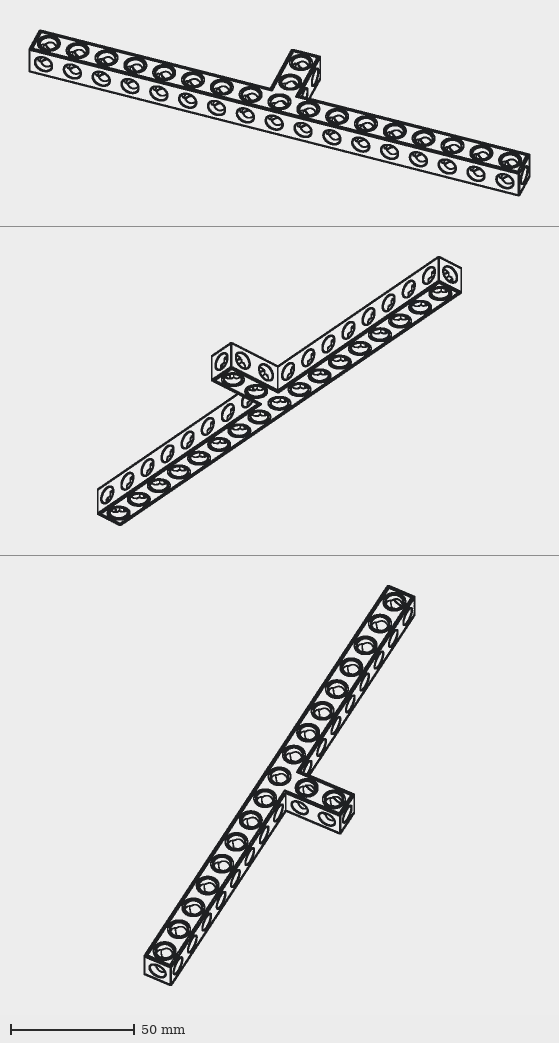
import cadquery as cq

beam_length = 212.5
beam_cells = 17
arm_cells = 2
cell = beam_length / beam_cells
half_cell = cell / 2
half_length = beam_length / 2
arm_end = half_cell + arm_cells * cell
hole_diameter = 7.0

corner_chamfer = 0.32
side_rim_diameter = 7.6
side_rim_depth = 0.2
lower_step_inset = 0.32
lower_step_diameter = side_rim_diameter
lower_step_depth = 0.2
upper_step_inset = 1.0
upper_step_diameter = 9.1
upper_step_depth = 0.1

beam_centres = [((i - (beam_cells - 1) / 2) * cell, 0) for i in range(beam_cells)]
arm_centres = [(0, (i + 1) * cell) for i in range(arm_cells)]


def t_prism(inset, face_depth):
    """T-shaped slab, inset from the outline and face_depth short of the top and bottom planes."""
    height = cell - 2 * face_depth
    width = cell - 2 * inset
    beam = cq.Workplane("XY").box(beam_length - 2 * inset, width, height)
    arm_length = arm_end - inset
    arm = cq.Workplane("XY").box(width, arm_length, height).translate((0, arm_length / 2, 0))
    return beam.union(arm)


def outer_corners(body):
    """Vertical edges of the body, without the two inner corners where the arm meets the beam."""
    inner_corners = cq.selectors.BoxSelector((-cell, 0, -cell), (cell, cell, cell))
    return body.edges(cq.selectors.StringSyntaxSelector("|Z") - inner_corners)


def stepped_body():
    """Chamfered core with two ever smaller and shallower slabs rising above and below it."""
    core = outer_corners(t_prism(0, lower_step_depth)).chamfer(corner_chamfer)
    middle = t_prism(lower_step_inset, upper_step_depth)
    return core.union(middle).union(t_prism(upper_step_inset, 0))


def cylinder(diameter, start, direction, length):
    solid = cq.Solid.makeCylinder(diameter / 2, length, cq.Vector(*start), cq.Vector(*direction))
    return cq.Workplane(solid)


def rimmed_hole(start, direction, length, rims):
    """Through hole with a round recess at both ends for each (diameter, depth) in rims."""
    axis = cq.Vector(*direction)
    entry = cq.Vector(*start)
    leave = entry + axis * length
    hole = cylinder(hole_diameter, start, direction, length)
    for diameter, depth in rims:
        hole = hole.union(cylinder(diameter, entry.toTuple(), axis.toTuple(), depth))
        hole = hole.union(cylinder(diameter, leave.toTuple(), (-axis).toTuple(), depth))
    return hole


face_rims = [(lower_step_diameter, lower_step_depth), (upper_step_diameter, upper_step_depth)]
side_rims = [(side_rim_diameter, side_rim_depth)]

result = stepped_body()

for x, y in beam_centres + arm_centres:
    result = result.cut(rimmed_hole((x, y, -half_cell), (0, 0, 1), cell, face_rims))

for x, _ in beam_centres:
    far_side = arm_end if x == 0 else half_cell
    result = result.cut(rimmed_hole((x, -half_cell, 0), (0, 1, 0), far_side + half_cell, side_rims))

result = result.cut(rimmed_hole((-half_length, 0, 0), (1, 0, 0), beam_length, side_rims))
for x, y in arm_centres:
    result = result.cut(rimmed_hole((x - half_cell, y, 0), (1, 0, 0), cell, side_rims))